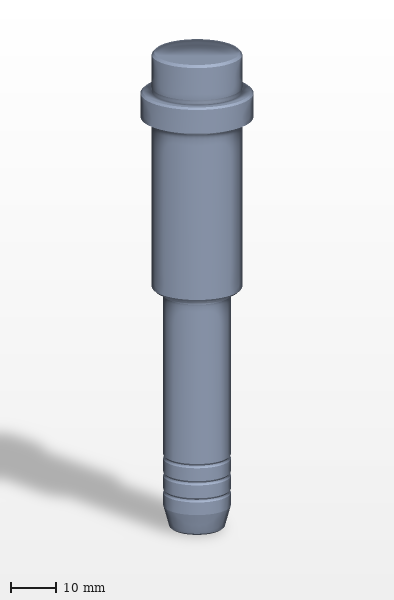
import cadquery as cq

length = 110.0
head_radius = 10.0
collar_radius = 12.48
shank_radius = 7.5

head_bottom = length - 8.0
collar_top = length - 9.0
collar_bottom = length - 15.0
body_bottom = 55.2

edge_chamfer = 0.5
collar_chamfer = 0.4

relief_depth = 0.8
relief_length = 1.0
shank_relief_length = 1.3

groove_count = 3
groove_pitch = 4.0
groove_width = 1.0
groove_depth = 0.4
first_groove_center = 16.5

taper_length = 5.2
tip_radius = 6.0
tip_chamfer = 0.4


def cylinder(radius, bottom, top):
    return cq.Workplane("XY").workplane(offset=bottom).circle(radius).extrude(top - bottom)


def ring_cut(points):
    """Revolve a closed (radius, height) outline about the pin axis."""
    return cq.Workplane("XZ").polyline(points).close().revolve(360, (0, 0, 0), (0, 1, 0))


def relief(radius, top, run_out):
    return ring_cut([
        (radius - relief_depth, top),
        (radius, top - run_out),
        (radius, top),
    ])


def groove(center):
    return ring_cut([
        (shank_radius, center - groove_width / 2),
        (shank_radius - groove_depth, center),
        (shank_radius, center + groove_width / 2),
    ])


head = cylinder(head_radius, head_bottom, length).faces(">Z").chamfer(edge_chamfer)
neck = cylinder(head_radius, collar_top, head_bottom).cut(relief(head_radius, head_bottom, relief_length))

collar = cylinder(collar_radius, collar_bottom, collar_top).faces(">Z").chamfer(collar_chamfer)

body = cylinder(head_radius, body_bottom, collar_bottom).faces("<Z").chamfer(edge_chamfer)
body = body.cut(relief(head_radius, collar_bottom, relief_length))

shank = cylinder(shank_radius, taper_length, body_bottom)
shank = shank.cut(relief(shank_radius, body_bottom, shank_relief_length))
for index in range(groove_count):
    shank = shank.cut(groove(first_groove_center - index * groove_pitch))

tip = (
    cq.Workplane("XY")
    .circle(tip_radius)
    .workplane(offset=taper_length)
    .circle(shank_radius)
    .loft(ruled=True)
    .faces("<Z")
    .chamfer(tip_chamfer)
)

result = head.union(neck).union(collar).union(body).union(shank).union(tip)